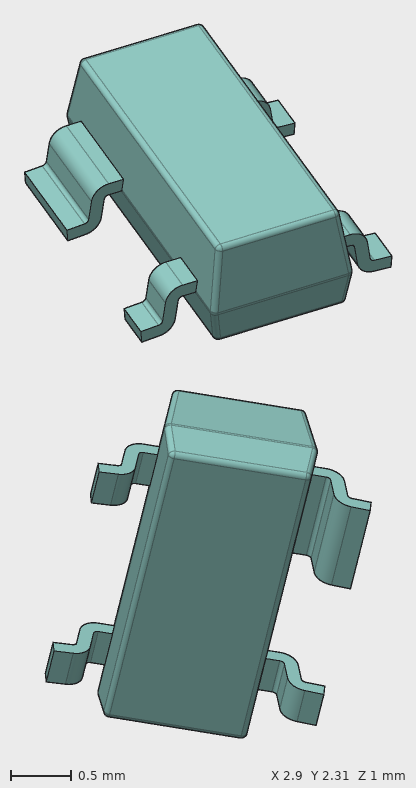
import cadquery as cq
import math

BODY_LENGTH = 2.9
BODY_WIDTH = 1.3
BODY_BOTTOM = 0.02
BODY_TOP = 1.0
BAND_HEIGHT = 0.02
BAND_MIDDLE = 0.368
DRAFT_ANGLE = 8.0
EDGE_RADIUS = 0.05

LEAD_THICKNESS = 0.12
LEAD_SPAN = 2.31
SHANK_START = 0.522
SHANK_END = 0.77
BEND_INNER_RADIUS = 0.04
LEG_ANGLE = 82.0
FOOT_ANGLE = 4.0
LEAD_PITCH = 1.902
NARROW_LEAD = 0.33
WIDE_LEAD = 0.832
WIDE_LEAD_CENTRE = -0.75


def make_body():
    """Band with a drafted block above and below, all edges off the band rounded."""
    band_bottom = BAND_MIDDLE - BAND_HEIGHT / 2
    band_top = BAND_MIDDLE + BAND_HEIGHT / 2

    def block(start, height, taper):
        base = cq.Workplane("XY").workplane(offset=start).rect(BODY_LENGTH, BODY_WIDTH)
        return base.extrude(height, taper=taper)

    band = block(band_bottom, BAND_HEIGHT, 0)
    upper = block(band_top, BODY_TOP - band_top, DRAFT_ANGLE)
    lower = block(band_bottom, BODY_BOTTOM - band_bottom, DRAFT_ANGLE)
    body = band.union(upper).union(lower)
    corners_and_rims = body.edges("(not #Z) or >Z or <Z")
    return corners_and_rims.fillet(EDGE_RADIUS)


def polar(centre, radius, angle):
    """Point at a distance from a centre, the angle in degrees from the first axis."""
    turn = math.radians(angle)
    return (centre[0] + radius * math.cos(turn), centre[1] + radius * math.sin(turn))


def lead_outline():
    """Closed lead profile in the YZ plane, running outwards along +Y."""
    inner = BEND_INNER_RADIUS
    outer = BEND_INNER_RADIUS + LEAD_THICKNESS
    shank_bottom = BAND_MIDDLE
    shank_top = shank_bottom + LEAD_THICKNESS
    leg = math.radians(LEG_ANGLE)
    foot = math.radians(FOOT_ANGLE)

    upper_end = 90 - LEG_ANGLE
    upper_mid = (90 + upper_end) / 2
    lower_start = 180 + upper_end
    lower_end = 270 - FOOT_ANGLE
    lower_mid = (lower_start + lower_end) / 2

    upper_centre = (SHANK_END, shank_bottom - inner)
    centre_run = LEAD_SPAN / 2 - upper_centre[0]
    centre_drop = upper_centre[1]
    bend_reach = inner + outer

    run = centre_run - bend_reach * math.sin(leg) + inner * math.sin(foot)
    drop = centre_drop + bend_reach * math.cos(leg) - outer * math.cos(foot)
    spread = math.sin(leg - foot)
    leg_length = (drop * math.cos(foot) - run * math.sin(foot)) / spread
    foot_length = (run * math.sin(leg) - drop * math.cos(leg)) / spread

    leg_top = polar(upper_centre, bend_reach, upper_end)
    lower_centre = polar(leg_top, leg_length, -LEG_ANGLE)
    foot_top = polar(lower_centre, inner, lower_end)
    foot_bottom = polar(lower_centre, outer, lower_end)

    return (
        cq.Workplane("YZ")
        .moveTo(SHANK_START, shank_top)
        .lineTo(SHANK_END, shank_top)
        .threePointArc(polar(upper_centre, outer, upper_mid), polar(upper_centre, outer, upper_end))
        .lineTo(*polar(lower_centre, inner, lower_start))
        .threePointArc(polar(lower_centre, inner, lower_mid), foot_top)
        .lineTo(*polar(foot_top, foot_length, -FOOT_ANGLE))
        .lineTo(*polar(foot_bottom, foot_length, -FOOT_ANGLE))
        .lineTo(*foot_bottom)
        .threePointArc(polar(lower_centre, outer, lower_mid), polar(lower_centre, outer, lower_start))
        .lineTo(*polar(upper_centre, inner, upper_end))
        .threePointArc(polar(upper_centre, inner, upper_mid), (SHANK_END, shank_bottom))
        .lineTo(SHANK_START, shank_bottom)
        .close()
    )


def make_lead(centre_x, width, on_back):
    """Lead of a given width on the back (+Y) or front (-Y) side."""
    lead = lead_outline().extrude(width / 2, both=True)
    if not on_back:
        lead = lead.mirror("XZ")
    return lead.translate((centre_x, 0, 0))


leads = [
    make_lead(-LEAD_PITCH / 2, NARROW_LEAD, on_back=True),
    make_lead(LEAD_PITCH / 2, NARROW_LEAD, on_back=True),
    make_lead(LEAD_PITCH / 2, NARROW_LEAD, on_back=False),
    make_lead(WIDE_LEAD_CENTRE, WIDE_LEAD, on_back=False),
]

result = make_body()
for lead in leads:
    result = result.union(lead)